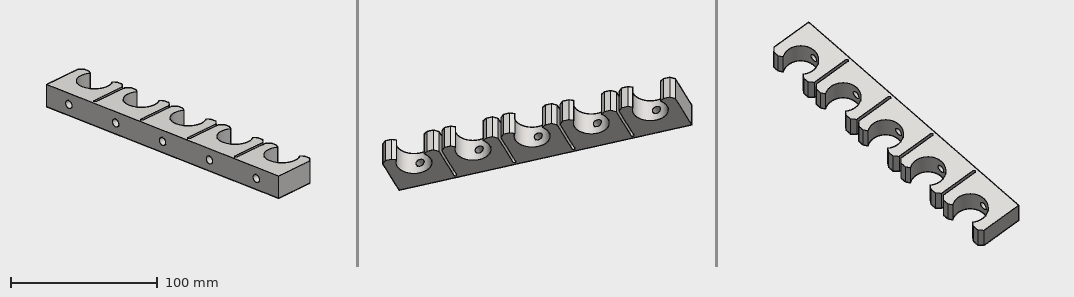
import cadquery as cq

clip_count = 5
clip_pitch = 43.0
slot_width = 2.0
depth = 35.0
thickness = 17.0

seat_radius = 12.25
seat_center_y = 26.0
mouth_width = 20.0
mouth_top_width = 26.0

corner_chamfer = 3.0
slot_floor = 2.0
hole_diameter = 5.8

clip_width = clip_pitch - slot_width
length = clip_pitch * (clip_count - 1) + clip_width
clip_centers = [(i - (clip_count - 1) / 2) * clip_pitch for i in range(clip_count)]
slot_centers = [x + clip_pitch / 2 for x in clip_centers[:-1]]
lip_y = seat_center_y + (seat_radius**2 - (mouth_width / 2) ** 2) ** 0.5


def make_bar():
    return cq.Workplane("XY").box(length, depth, thickness, centered=(True, False, False))


def seat_cutter(x):
    """Round bore with a narrowed mouth that flares out to the +Y face."""
    return (
        cq.Workplane("XY")
        .moveTo(x - mouth_top_width / 2, depth)
        .lineTo(x - mouth_width / 2, lip_y)
        .threePointArc((x, seat_center_y - seat_radius), (x + mouth_width / 2, lip_y))
        .lineTo(x + mouth_top_width / 2, depth)
        .close()
        .extrude(thickness)
    )


def slot_cutter(x):
    """Round-bottomed slot that separates two neighbouring clips."""
    half = slot_width / 2
    return (
        cq.Workplane("XY")
        .moveTo(x - half, depth)
        .lineTo(x - half, slot_floor + half)
        .threePointArc((x, slot_floor), (x + half, slot_floor + half))
        .lineTo(x + half, depth)
        .close()
        .extrude(thickness)
    )


def corner_cutter(x, side):
    """Triangular prism that bevels one outer corner of the clip centred at x."""
    edge_x = x + side * clip_width / 2
    return (
        cq.Workplane("XY")
        .moveTo(edge_x, depth)
        .lineTo(edge_x - side * corner_chamfer, depth)
        .lineTo(edge_x, depth - corner_chamfer)
        .close()
        .extrude(thickness)
    )


def hole_cutter(x):
    """Mounting hole along Y, from the flat -Y face into the seat."""
    return (
        cq.Workplane("XZ")
        .center(x, thickness / 2)
        .circle(hole_diameter / 2)
        .extrude(-seat_center_y)
    )


result = make_bar()
for center in slot_centers:
    result = result.cut(slot_cutter(center))
for center in clip_centers:
    result = result.cut(seat_cutter(center))
    result = result.cut(hole_cutter(center))
    for side in (-1, 1):
        result = result.cut(corner_cutter(center, side))